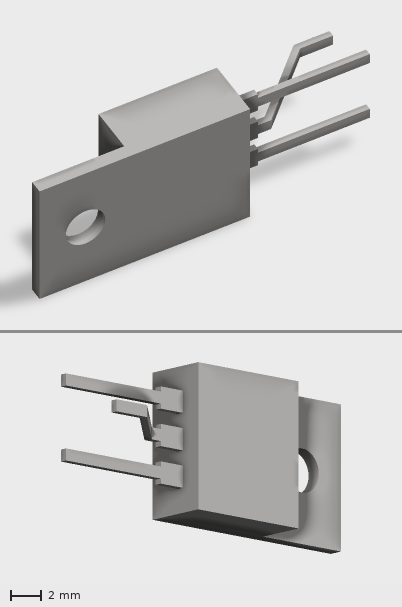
import cadquery as cq
import math

total_length = 26.55
width = 10.0
body_thickness = 4.5
body_length = 9.02
tab_thickness = 1.0
tab_length = 7.0
hole_diameter = 3.0

lead_thickness = 0.5
lead_back_gap = 2.5
lead_pitch = 2.55
lead_width = 0.82
shoulder_width = 1.5
shoulder_length = 2.0

bend_angle = 45.0
bend_offset = 5.0
bent_end_length = 2.73

body_start = tab_length
body_end = body_start + body_length
shoulder_end = body_end + shoulder_length
lead_back = -lead_back_gap
lead_front = lead_back - lead_thickness


def block(x_min, x_max, y_min, y_max, height, z_center=0.0):
    """Box between X and Y limits, centred on the given Z."""
    return (
        cq.Workplane("XY")
        .box(x_max - x_min, y_max - y_min, height, centered=(False, False, True))
        .translate((x_min, y_min, z_center))
    )


def make_package():
    """Moulded body on a mounting tab with a through hole."""
    body = block(-body_thickness, 0, body_start, body_end, width)
    tab = block(-tab_thickness, 0, 0, body_start, width)
    hole = (
        cq.Workplane("YZ")
        .center(tab_length / 2, 0)
        .circle(hole_diameter / 2)
        .extrude(-tab_thickness)
    )
    return body.union(tab).cut(hole)


def make_shoulder(z_center):
    """Wide root of a lead."""
    return block(lead_front, lead_back, body_end, shoulder_end, shoulder_width, z_center)


def make_straight_lead(z_center):
    """Narrow straight lead beyond its shoulder."""
    return block(lead_front, lead_back, shoulder_end, total_length, lead_width, z_center)


def make_bent_lead():
    """Narrow middle lead of constant thickness with two opposite bends."""
    end_front = lead_front - bend_offset
    end_back = lead_back - bend_offset
    upper_bend_front = total_length - bent_end_length
    lower_bend_front = upper_bend_front - bend_offset / math.tan(math.radians(bend_angle))
    miter_shift = lead_thickness * math.tan(math.radians(bend_angle / 2))
    return (
        cq.Workplane("XY")
        .workplane(offset=-lead_width / 2)
        .moveTo(lead_front, shoulder_end)
        .lineTo(lead_front, lower_bend_front)
        .lineTo(end_front, upper_bend_front)
        .lineTo(end_front, total_length)
        .lineTo(end_back, total_length)
        .lineTo(end_back, upper_bend_front + miter_shift)
        .lineTo(lead_back, lower_bend_front + miter_shift)
        .lineTo(lead_back, shoulder_end)
        .close()
        .extrude(lead_width)
    )


result = make_package().union(make_shoulder(0)).union(make_bent_lead())
for z_center in (-lead_pitch, lead_pitch):
    result = result.union(make_shoulder(z_center)).union(make_straight_lead(z_center))